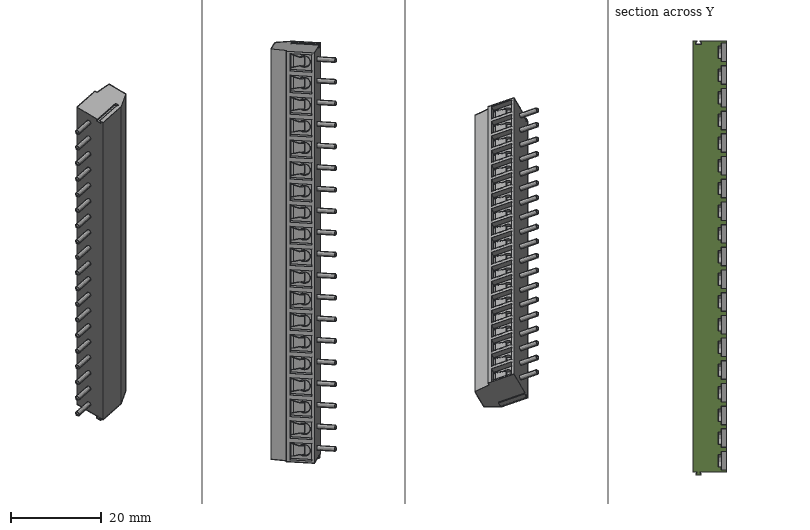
import cadquery as cq

POLES = 19
TOTAL_LENGTH = 95.7
KEY_HEIGHT = 0.7
BODY_LENGTH = TOTAL_LENGTH - KEY_HEIGHT
PITCH = BODY_LENGTH / POLES
WIDTH = 7.5
BODY_HEIGHT = 9.95
TOTAL_HEIGHT = 14.3

ENTRY_FACE = -WIDTH / 2
BACK_FACE = WIDTH / 2
SHOULDER_HEIGHT = 6.3
SHOULDER_STEP = 0.6
TOP_INSET_ENTRY = 1.1
TOP_INSET_BACK = 1.6

KEY_X = 2.5
KEY_TIP_WIDTH = 1.15
KEY_ROOT_WIDTH = 0.6
KEY_FLARE_HEIGHT = 0.4

PIN_X = -0.3
PIN_DIAMETER = 1.1
PIN_TIP_CHAMFER = 0.3
PIN_LENGTH = TOTAL_HEIGHT - BODY_HEIGHT

WINDOW_LOW = 0.6
WINDOW_HEIGHT = 4.9
WINDOW_TOP = WINDOW_LOW + WINDOW_HEIGHT
WINDOW_WIDTH = 4.0
WINDOW_DEPTH = 1.15
WINDOW_FLOOR = ENTRY_FACE + WINDOW_DEPTH

HOLE_RADIUS = 1.3
HOLE_Y = 2.5
HOLE_DEPTH = 0.7
HOLE_FLOOR = WINDOW_FLOOR + HOLE_DEPTH

GUARD_THICKNESS = 0.3
GUARD_FACE = WINDOW_FLOOR - GUARD_THICKNESS
GUARD_RAMP = 0.6
GUARD_ROOT_WIDTH = 3.1
GUARD_TIP_WIDTH = 2.0
GUARD_BEND_Y = 3.4
GUARD_BEND_DROP = 0.4
GUARD_BEND_BULGE = 0.05


def make_body():
    """Stepped and tapered housing without its details."""
    return (
        cq.Workplane("XY")
        .moveTo(ENTRY_FACE, 0)
        .lineTo(BACK_FACE, 0)
        .lineTo(BACK_FACE, SHOULDER_HEIGHT)
        .lineTo(BACK_FACE - TOP_INSET_BACK, BODY_HEIGHT)
        .lineTo(ENTRY_FACE + TOP_INSET_ENTRY, BODY_HEIGHT)
        .lineTo(ENTRY_FACE + SHOULDER_STEP, SHOULDER_HEIGHT)
        .lineTo(ENTRY_FACE, SHOULDER_HEIGHT)
        .close()
        .extrude(BODY_LENGTH)
    )


def make_key():
    """Dovetail bar flaring from its root at Z = 0 to a straight-sided lower end."""
    return (
        cq.Workplane("XZ")
        .moveTo(KEY_X - KEY_ROOT_WIDTH / 2, 0)
        .lineTo(KEY_X + KEY_ROOT_WIDTH / 2, 0)
        .lineTo(KEY_X + KEY_TIP_WIDTH / 2, -KEY_FLARE_HEIGHT)
        .lineTo(KEY_X + KEY_TIP_WIDTH / 2, -KEY_HEIGHT)
        .lineTo(KEY_X - KEY_TIP_WIDTH / 2, -KEY_HEIGHT)
        .lineTo(KEY_X - KEY_TIP_WIDTH / 2, -KEY_FLARE_HEIGHT)
        .close()
        .extrude(-SHOULDER_HEIGHT)
    )


def make_opening():
    """Window and wire hole of one pole centred on Z = 0."""
    window = (
        cq.Workplane("XY")
        .box(WINDOW_DEPTH, WINDOW_HEIGHT, WINDOW_WIDTH, centered=(False, False, True))
        .translate((ENTRY_FACE, WINDOW_LOW, 0))
    )
    hole = (
        cq.Workplane("YZ", origin=(ENTRY_FACE, 0, 0))
        .center(HOLE_Y, 0)
        .circle(HOLE_RADIUS)
        .extrude(WINDOW_DEPTH + HOLE_DEPTH)
    )
    return window.union(hole)


def make_guard():
    """Wire guard of one pole: side profile trimmed to a tapered outline."""
    bend_middle = (
        GUARD_FACE + GUARD_BEND_DROP / 2 - GUARD_BEND_BULGE,
        (GUARD_BEND_Y + HOLE_Y) / 2,
    )
    profile = (
        cq.Workplane("XY")
        .moveTo(HOLE_FLOOR, WINDOW_TOP)
        .lineTo(WINDOW_FLOOR, WINDOW_TOP)
        .lineTo(GUARD_FACE, WINDOW_TOP - GUARD_RAMP)
        .lineTo(GUARD_FACE, GUARD_BEND_Y)
        .threePointArc(bend_middle, (GUARD_FACE + GUARD_BEND_DROP, HOLE_Y))
        .lineTo(HOLE_FLOOR, HOLE_Y)
        .close()
        .extrude(GUARD_ROOT_WIDTH / 2, both=True)
    )
    outline = (
        cq.Workplane("YZ", origin=(ENTRY_FACE, 0, 0))
        .moveTo(WINDOW_TOP, GUARD_ROOT_WIDTH / 2)
        .lineTo(GUARD_BEND_Y, GUARD_TIP_WIDTH / 2)
        .lineTo(HOLE_Y, GUARD_TIP_WIDTH / 2)
        .lineTo(HOLE_Y, -GUARD_TIP_WIDTH / 2)
        .lineTo(GUARD_BEND_Y, -GUARD_TIP_WIDTH / 2)
        .lineTo(WINDOW_TOP, -GUARD_ROOT_WIDTH / 2)
        .close()
        .extrude(WINDOW_DEPTH + HOLE_DEPTH)
    )
    return profile.intersect(outline)


def make_pin():
    """Round solder pin of one pole with a chamfered tip."""
    return (
        cq.Workplane("XZ")
        .center(PIN_X, 0)
        .circle(PIN_DIAMETER / 2)
        .extrude(PIN_LENGTH)
        .faces("<Y")
        .chamfer(PIN_TIP_CHAMFER)
    )


def at_every_pole(shape):
    """Copies of a shape at the middle of each pole."""
    solid = shape.val()
    return [solid.translate(cq.Vector(0, 0, (pole + 0.5) * PITCH)) for pole in range(POLES)]


body = make_body().val()
key = make_key().val()
groove = key.translate(cq.Vector(0, 0, BODY_LENGTH))

body = body.cut(groove, *at_every_pole(make_opening()))
body = body.fuse(key, *at_every_pole(make_guard()), *at_every_pole(make_pin()))
result = cq.Workplane("XY").newObject([body.Solids()[0]])